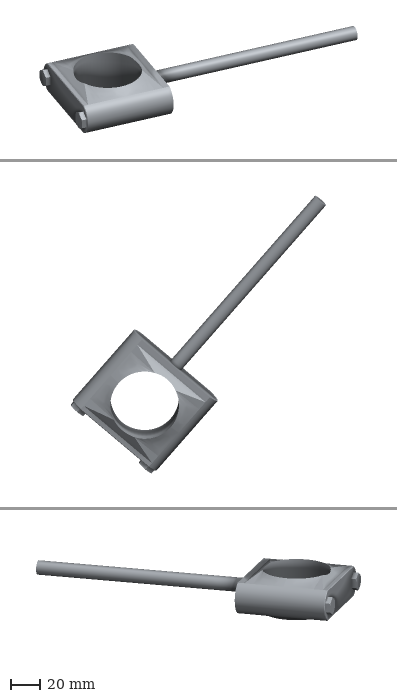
import cadquery as cq
import math

TOTAL_LENGTH = 220.5
CLAMP_WIDTH = 75.9
TOTAL_HEIGHT = 29.8

BODY_HEIGHT = 21.8
BODY_LENGTH = 64.6
BOLT_SPACING = 61.8
FRONT_TO_BORE = 31.8
FRONT_CHAMFER = 0.5

BORE_RADIUS = 23.5
PAD_LENGTH = 56.5
PAD_TOP_LENGTH = 43.2

HEAD_THICKNESS = 3.5
HEAD_ACROSS_FLATS = 11.0
HEAD_FACE_DIAMETER = 11.5
HEAD_CORNER_CHAMFER = 0.5
ROD_DIAMETER = 10.0

half_spacing = BOLT_SPACING / 2
half_body = BODY_HEIGHT / 2
half_total = TOTAL_HEIGHT / 2
front_y = -FRONT_TO_BORE
back_y = front_y + BODY_LENGTH
rod_length = TOTAL_LENGTH - BODY_LENGTH - HEAD_THICKNESS


def clamp_body():
    """Bar whose section is straight between the bolts and arched at both ends."""
    half_width = CLAMP_WIDTH / 2
    return (
        cq.Workplane("XZ", origin=(0, front_y, 0))
        .moveTo(-half_spacing, half_body)
        .lineTo(half_spacing, half_body)
        .threePointArc((half_width, 0), (half_spacing, -half_body))
        .lineTo(-half_spacing, -half_body)
        .threePointArc((-half_width, 0), (-half_spacing, half_body))
        .close()
        .extrude(-BODY_LENGTH)
        .faces("<Y")
        .chamfer(FRONT_CHAMFER)
    )


def flat_face(*corners):
    """Planar face through the given corners."""
    return cq.Face.makeFromWires(cq.Wire.makePolygon([cq.Vector(*c) for c in corners], close=True))


def raised_pad():
    """Upper collar: ruled sides rising to the bore rim, and sloped ends."""
    end_y = PAD_LENGTH / 2
    rim_y = PAD_TOP_LENGTH / 2
    rim_x = math.sqrt(BORE_RADIUS**2 - rim_y**2)
    half_angle = math.asin(rim_y / BORE_RADIUS) / 2
    mid_x = BORE_RADIUS * math.cos(half_angle)
    mid_y = BORE_RADIUS * math.sin(half_angle)

    side_stations = [-end_y, -rim_y, 0, rim_y, end_y]
    base_left = [(-half_spacing, y, half_body) for y in side_stations]
    base_right = [(half_spacing, y, half_body) for y in reversed(side_stations)]
    faces = [flat_face(*base_left, *base_right)]
    rim_edges = []
    for side_y in (-1, 1):
        rim_edges.append(
            cq.Edge.makeLine(
                cq.Vector(-rim_x, side_y * rim_y, half_total),
                cq.Vector(rim_x, side_y * rim_y, half_total),
            )
        )
        faces.append(
            flat_face(
                (-half_spacing, side_y * end_y, half_body),
                (half_spacing, side_y * end_y, half_body),
                (rim_x, side_y * rim_y, half_total),
                (-rim_x, side_y * rim_y, half_total),
            )
        )
        for side_x in (-1, 1):
            outer_x = side_x * half_spacing
            rim_arc = cq.Edge.makeThreePointArc(
                cq.Vector(side_x * BORE_RADIUS, 0, half_total),
                cq.Vector(side_x * mid_x, side_y * mid_y, half_total),
                cq.Vector(side_x * rim_x, side_y * rim_y, half_total),
            )
            foot = cq.Edge.makeLine(
                cq.Vector(outer_x, 0, half_body),
                cq.Vector(outer_x, side_y * rim_y, half_body),
            )
            rim_edges.append(rim_arc)
            faces.append(cq.Face.makeRuledSurface(foot, rim_arc))
            faces.append(
                flat_face(
                    (outer_x, side_y * end_y, half_body),
                    (outer_x, side_y * rim_y, half_body),
                    (side_x * rim_x, side_y * rim_y, half_total),
                )
            )
    faces.append(cq.Face.makeFromWires(cq.Wire.combine(rim_edges)[0]))
    return cq.Workplane(cq.Solid.makeSolid(cq.Shell.makeShell(faces)).fix())


def bolt_heads():
    """Two hexagonal heads with corners pointing up and down."""
    return (
        cq.Workplane("XZ", origin=(0, front_y, 0))
        .pushPoints([(-half_spacing, 0), (half_spacing, 0)])
        .eachpoint(lambda place: hex_head().moved(place))
    )


def hex_head():
    """Single bolt head, extruded away from its seat, with its outer corners chamfered round."""
    across_corners = HEAD_ACROSS_FLATS / math.cos(math.pi / 6)
    corner_radius = across_corners / 2
    hexagon = (
        cq.Workplane("XY")
        .transformed(rotate=(0, 0, 90))
        .polygon(6, across_corners)
        .extrude(HEAD_THICKNESS)
    )
    corner_trim = (
        cq.Workplane("XZ")
        .polyline(
            [
                (0, 0),
                (corner_radius, 0),
                (corner_radius, HEAD_THICKNESS - HEAD_CORNER_CHAMFER),
                (HEAD_FACE_DIAMETER / 2, HEAD_THICKNESS),
                (0, HEAD_THICKNESS),
            ]
        )
        .close()
        .revolve(360, (0, 0), (0, 1))
    )
    return hexagon.intersect(corner_trim).val()


def handle_rod():
    """Round handle standing on the middle of the back face."""
    return cq.Workplane("XZ", origin=(0, back_y, 0)).circle(ROD_DIAMETER / 2).extrude(-rod_length)


upper_pad = raised_pad()
lower_pad = upper_pad.mirror("XY")
bore = cq.Workplane("XY", origin=(0, 0, -half_total)).circle(BORE_RADIUS).extrude(TOTAL_HEIGHT)

clamp = clamp_body().union(upper_pad).union(lower_pad).cut(bore)
result = clamp.union(bolt_heads()).union(handle_rod())